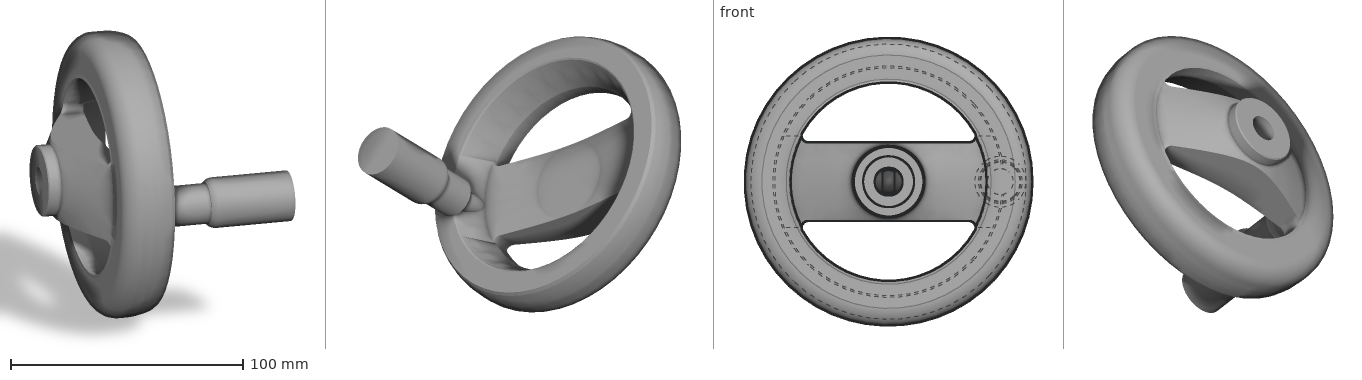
import cadquery as cq

RIM_RADIUS = 62.0
RIM_FRONT_Y = -22.5
RIM_BACK_FACE_RADIUS = 59.3
RIM_BACK_EDGE_RADIUS = 60.3
RIM_BACK_EDGE_Y = -1.5
RIM_CROWN_BACK_Y = -10.2
RIM_CROWN_FRONT_Y = -14.6
RIM_SIDE_BULGE_RADIUS = 61.3
RIM_SIDE_BULGE_Y = -4.6
RIM_FRONT_FACE_RADIUS = 54.5
RIM_SHOULDER_RADIUS = 59.8
RIM_SHOULDER_Y = -20.1
RIM_BACK_MOUTH_RADIUS = 49.1
RIM_BACK_LEAD_RADIUS = 49.8
RIM_BACK_LEAD_DEPTH = 0.5
RIM_FRONT_MOUTH_RADIUS = 44.1
RIM_THROAT_Y = -15.6

WEB_EDGE_RADIUS = 42.2
WEB_EDGE_Y = -22.7
WEB_BACK_Y = -17.6
WEB_BACK_FLAT_RADIUS = 17.4
WEB_BACK_EDGE_Y = -13.4
WINDOW_RADIUS = 42.7
BAR_HALF_WIDTH = 17.0
WINDOW_CORNER_RADIUS = 2.7

HUB_RADIUS = 31.0 / 2
HUB_FRONT_Y = -44.0
HUB_LENGTH = 5.6
HUB_CHAMFER = 0.5
BUSHING_RADIUS = 22.0 / 2
BORE_RADIUS = 12.0 / 2
BORE_DEPTH = 21.1
BUMP_RADIUS = 5.1
BUMP_SPACING = 5.2
BUMP_COUNT = 3

HANDLE_X = 48.1
STUD_RADIUS = 5.6
STUD_LENGTH = 14.9
NECK_RADIUS = 17.6 / 2
NECK_CHAMFER = 0.4
NECK_LENGTH = 16.9
GRIP_RADIUS = 22.0 / 2
GRIP_NOSE_RADIUS = 9.4
GRIP_NOSE_LENGTH = 3.6
GRIP_BULGE_RADIUS = 10.5
GRIP_BULGE_LENGTH = 1.6
HANDLE_END_Y = 54.0


def turn_about_y(profile):
    """Revolve a closed XY half-profile a full turn about the Y axis."""
    return profile.revolve(360, (0, 0, 0), (0, 1, 0))


def cylinder_along_y(radius, start_y, end_y, x=0):
    """Cylinder between two Y positions, with its axis parallel to Y."""
    plane = cq.Plane(origin=(x, start_y, 0), xDir=(1, 0, 0), normal=(0, 1, 0))
    return cq.Workplane(plane).circle(radius).extrude(end_y - start_y)


def make_wheel_blank():
    """Rim, conical web and hub as one turned solid without openings."""
    hub_back_y = HUB_FRONT_Y + HUB_LENGTH
    profile = (
        cq.Workplane("XY")
        .moveTo(0, HUB_FRONT_Y)
        .lineTo(HUB_RADIUS - HUB_CHAMFER, HUB_FRONT_Y)
        .lineTo(HUB_RADIUS, HUB_FRONT_Y + HUB_CHAMFER)
        .lineTo(HUB_RADIUS, hub_back_y)
        .lineTo(WEB_EDGE_RADIUS, WEB_EDGE_Y)
        .lineTo(WINDOW_RADIUS, WEB_EDGE_Y)
        .lineTo(RIM_FRONT_MOUTH_RADIUS, RIM_FRONT_Y)
        .lineTo(RIM_FRONT_FACE_RADIUS, RIM_FRONT_Y)
        .threePointArc((RIM_SHOULDER_RADIUS, RIM_SHOULDER_Y), (RIM_RADIUS, RIM_CROWN_FRONT_Y))
        .lineTo(RIM_RADIUS, RIM_CROWN_BACK_Y)
        .threePointArc((RIM_SIDE_BULGE_RADIUS, RIM_SIDE_BULGE_Y), (RIM_BACK_EDGE_RADIUS, RIM_BACK_EDGE_Y))
        .lineTo(RIM_BACK_FACE_RADIUS, 0)
        .lineTo(RIM_BACK_LEAD_RADIUS, 0)
        .lineTo(RIM_BACK_MOUTH_RADIUS, -RIM_BACK_LEAD_DEPTH)
        .lineTo(WINDOW_RADIUS, WEB_BACK_EDGE_Y)
        .lineTo(WEB_BACK_FLAT_RADIUS, WEB_BACK_Y)
        .lineTo(0, WEB_BACK_Y)
        .close()
    )
    return turn_about_y(profile)


def make_window(side):
    """Segment-shaped cutter above (side = 1) or below (side = -1) the bar, flared towards the back."""
    beyond_bar = (
        cq.Workplane("XY")
        .box(2 * RIM_RADIUS, 2 * RIM_RADIUS, RIM_RADIUS)
        .translate((0, 0, side * (BAR_HALF_WIDTH + RIM_RADIUS / 2)))
    )
    disc = cylinder_along_y(WINDOW_RADIUS, HUB_FRONT_Y, 0)
    opening = disc.intersect(beyond_bar).edges("|Y").fillet(WINDOW_CORNER_RADIUS)
    flare_profile = (
        cq.Workplane("XY")
        .moveTo(0, RIM_THROAT_Y)
        .lineTo(WINDOW_RADIUS, RIM_THROAT_Y)
        .lineTo(RIM_BACK_MOUTH_RADIUS, -RIM_BACK_LEAD_DEPTH)
        .lineTo(0, -RIM_BACK_LEAD_DEPTH)
        .close()
    )
    flare_limit = beyond_bar.translate((0, 0, side * WINDOW_CORNER_RADIUS))
    return opening.union(turn_about_y(flare_profile).intersect(flare_limit))


def make_wheel():
    """Wheel with its windows, bushing seat and stud hole."""
    wheel = make_wheel_blank()
    for side in (1, -1):
        wheel = wheel.cut(make_window(side))
    wheel = wheel.cut(cylinder_along_y(BUSHING_RADIUS, HUB_FRONT_Y, WEB_BACK_Y))
    return wheel.cut(cylinder_along_y(STUD_RADIUS, -STUD_LENGTH, 0, HANDLE_X))


def make_bushing():
    """Blind bushing with a row of rounded bumps across the bore floor."""
    floor_y = HUB_FRONT_Y + BORE_DEPTH
    bushing = cylinder_along_y(BUSHING_RADIUS, HUB_FRONT_Y, WEB_BACK_Y)
    bushing = bushing.cut(cylinder_along_y(BORE_RADIUS, HUB_FRONT_Y, floor_y))
    for index in range(BUMP_COUNT):
        x = (index - (BUMP_COUNT - 1) / 2) * BUMP_SPACING
        bushing = bushing.union(cq.Workplane("XY").sphere(BUMP_RADIUS).translate((x, floor_y, 0)))
    return bushing


def make_spindle():
    """Handle neck with the smaller stud that enters the rim."""
    neck = cylinder_along_y(NECK_RADIUS, 0, NECK_LENGTH, HANDLE_X)
    neck = neck.faces("<Y").chamfer(NECK_CHAMFER)
    return neck.union(cylinder_along_y(STUD_RADIUS, -STUD_LENGTH, 0, HANDLE_X))


def make_grip():
    """Cylindrical grip with a rounded nose where it meets the neck."""
    profile = (
        cq.Workplane("XY")
        .moveTo(0, NECK_LENGTH)
        .lineTo(GRIP_NOSE_RADIUS, NECK_LENGTH)
        .threePointArc(
            (GRIP_BULGE_RADIUS, NECK_LENGTH + GRIP_BULGE_LENGTH),
            (GRIP_RADIUS, NECK_LENGTH + GRIP_NOSE_LENGTH),
        )
        .lineTo(GRIP_RADIUS, HANDLE_END_Y)
        .lineTo(0, HANDLE_END_Y)
        .close()
    )
    return turn_about_y(profile).translate((HANDLE_X, 0, 0))


wheel = make_wheel()
bushing = make_bushing()
spindle = make_spindle()
grip = make_grip()

result = cq.Compound.makeCompound([wheel.val(), bushing.val(), spindle.val(), grip.val()])